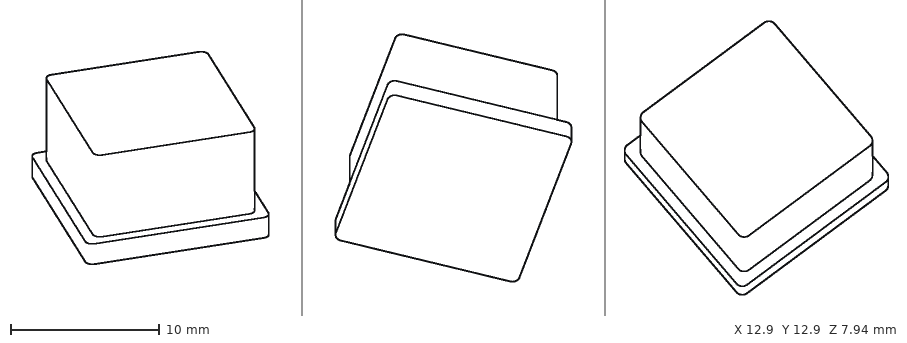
import cadquery as cq

flange_side = 12.95
total_height = 7.94
flange_height = 1.59
ledge_width = 0.762
corner_radius = 0.508

body_side = flange_side - 2 * ledge_width
body_height = total_height - flange_height


def rounded_square_block(side, height, bottom_z=0):
    """Square block centred on Z, with rounded vertical edges."""
    block = cq.Workplane("XY").workplane(offset=bottom_z).rect(side, side).extrude(height)
    return block.edges("|Z").fillet(corner_radius)


flange = rounded_square_block(flange_side, flange_height)
body = rounded_square_block(body_side, body_height, flange_height)

result = flange.union(body)